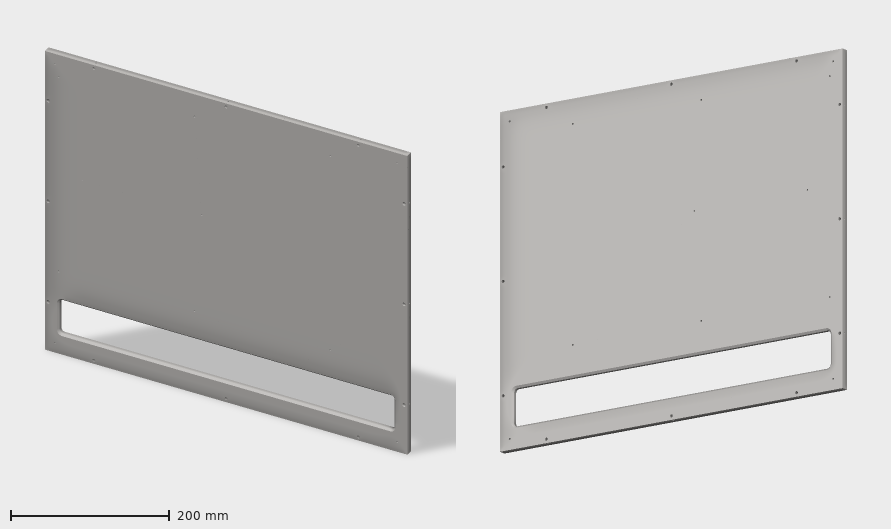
import cadquery as cq

width = 520.0
thickness = 10.0
height = 446.0
front_y = -thickness / 2

border_hole_diameter = 4.0
row_inset = 5.0
row_pitch = 190.0
column_inset = 4.5
column_pitch = 150.5

sink_diameter = 5.0
sink_depth = (sink_diameter - border_hole_diameter) / 2

edge_hole_diameter = 2.0
edge_hole_y = 0.8

corner_hole_diameter = 2.5
corner_inset = 14.5

grid_columns = 3
grid_rows = 2
grid_left = -240.0
grid_top = 190.0
grid_pitch_x = 195.0
grid_pitch_z = 290.0
grid_hole_diameter = 2.5

pair_left = -206.5
pair_spacing = 171.5
pair_z = 46.0
pair_hole_diameter = 2.0

window_width = 480.5
window_height = 50.0
window_center_z = -168.0
window_corner_radius = 5.0
window_chamfer = 2.5


def drill_through(panel, points, diameter):
    """Cut round holes through the thickness at the (x, z) points."""
    holes = (
        cq.Workplane("XZ", origin=(0, front_y, 0))
        .pushPoints(points)
        .circle(diameter / 2)
        .extrude(-thickness)
    )
    return panel.cut(holes)


def countersink(panel, x, z):
    """Widen the front end of a border screw hole with a cone."""
    cone = cq.Solid.makeCone(
        sink_diameter / 2,
        border_hole_diameter / 2,
        sink_depth,
        cq.Vector(x, front_y, z),
        cq.Vector(0, 1, 0),
    )
    return panel.cut(cq.Workplane(cone))


def drill_edge(panel, start, direction, depth):
    """Cut a hole from a narrow edge to the axis of the border hole behind it."""
    hole = cq.Solid.makeCylinder(
        edge_hole_diameter / 2, depth, cq.Vector(*start), cq.Vector(*direction)
    )
    return panel.cut(cq.Workplane(hole))


def cut_window(panel):
    """Cut the rounded window and chamfer its rim on both faces."""
    opening = (
        cq.Workplane("XZ", origin=(0, front_y, window_center_z))
        .rect(window_width, window_height)
        .extrude(-thickness)
        .edges("|Y")
        .fillet(window_corner_radius)
    )
    inside_border = cq.selectors.BoxSelector(
        (-width / 2 + column_inset, -thickness, -height / 2 + row_inset),
        (width / 2 - column_inset, thickness, height / 2 - row_inset),
    )
    return panel.cut(opening).faces("|Y").edges(inside_border).chamfer(window_chamfer)


def drill_border(panel):
    """Add the border screw holes, their countersinks and the edge holes."""
    for side in (-1, 1):
        row_z = side * (height / 2 - row_inset)
        column_x = side * (width / 2 - column_inset)
        for step in (-1, 0, 1):
            x = step * row_pitch
            z = step * column_pitch
            panel = drill_through(panel, [(x, row_z), (column_x, z)], border_hole_diameter)
            panel = countersink(panel, column_x, z)
            panel = drill_edge(panel, (x, edge_hole_y, side * height / 2), (0, 0, -side), row_inset)
            panel = drill_edge(panel, (side * width / 2, edge_hole_y, z), (-side, 0, 0), column_inset)
    return panel


corner_x = width / 2 - corner_inset
corner_z = height / 2 - corner_inset
corner_points = [(i * corner_x, k * corner_z) for i in (-1, 1) for k in (-1, 1)]

grid_points = [
    (grid_left + column * grid_pitch_x, grid_top - row * grid_pitch_z)
    for column in range(grid_columns)
    for row in range(grid_rows)
]

pair_points = [(pair_left, pair_z), (pair_left + pair_spacing, pair_z)]

result = cq.Workplane("XY").box(width, thickness, height)
result = cut_window(result)
result = drill_border(result)
result = drill_through(result, corner_points, corner_hole_diameter)
result = drill_through(result, grid_points, grid_hole_diameter)
result = drill_through(result, pair_points, pair_hole_diameter)